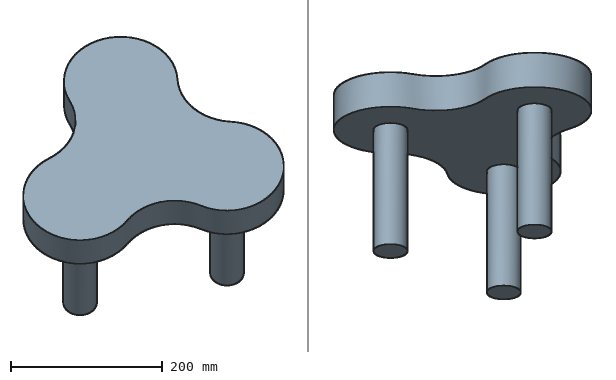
import cadquery as cq
import math

leg_spacing = 200.0
lobe_radius = 75.0
waist_radius = 75.0
seat_thickness = 50.0
leg_diameter = 45.0
leg_length = 175.0

lobe_count = 3
lobe_pitch = 360.0 / lobe_count
half_pitch = lobe_pitch / 2
center_distance = leg_spacing / math.sqrt(3)

chord_distance = center_distance * math.cos(math.radians(half_pitch))
waist_offset = math.sqrt((lobe_radius + waist_radius) ** 2 - (leg_spacing / 2) ** 2)
waist_distance = chord_distance + waist_offset
tangent_ratio = lobe_radius / (lobe_radius + waist_radius)


def polar(distance, angle):
    """Point at a distance from the Z axis, at an angle in degrees from +X."""
    radians = math.radians(angle)
    return (distance * math.cos(radians), distance * math.sin(radians))


def tangent_point(lobe_angle, waist_angle):
    """Point where a lobe meets a waist, on the line between their centres."""
    lobe_x, lobe_y = polar(center_distance, lobe_angle)
    waist_x, waist_y = polar(waist_distance, waist_angle)
    return (
        lobe_x + (waist_x - lobe_x) * tangent_ratio,
        lobe_y + (waist_y - lobe_y) * tangent_ratio,
    )


lobe_angles = [i * lobe_pitch for i in range(lobe_count)]


def make_seat():
    """Three-lobed slab with smooth waists, standing on top of the legs."""
    outline = cq.Workplane("XY", origin=(0, 0, leg_length))
    outline = outline.moveTo(*tangent_point(lobe_angles[0], lobe_angles[0] - half_pitch))
    for angle in lobe_angles:
        waist_angle = angle + half_pitch
        lobe_tip = polar(center_distance + lobe_radius, angle)
        lobe_end = tangent_point(angle, waist_angle)
        waist_middle = polar(waist_distance - waist_radius, waist_angle)
        waist_end = tangent_point(angle + lobe_pitch, waist_angle)
        outline = outline.threePointArc(lobe_tip, lobe_end)
        outline = outline.threePointArc(waist_middle, waist_end)
    return outline.close().extrude(seat_thickness)


def make_legs():
    """One round leg under the centre of each lobe."""
    leg_centers = [polar(center_distance, angle) for angle in lobe_angles]
    return cq.Workplane("XY").pushPoints(leg_centers).circle(leg_diameter / 2).extrude(leg_length)


result = make_seat().union(make_legs())